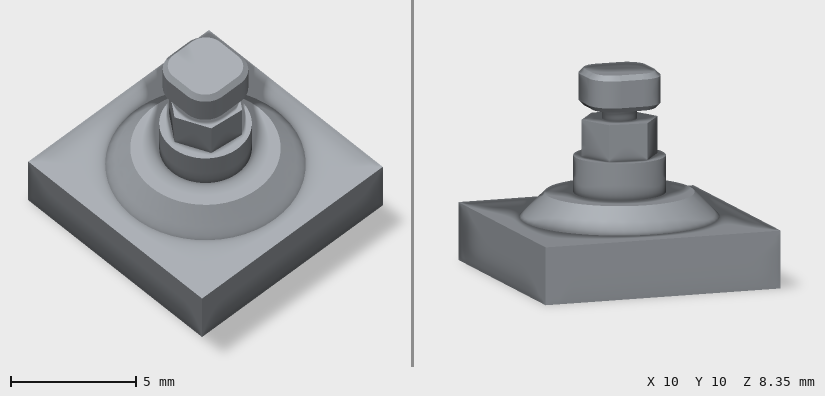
import cadquery as cq

base_side = 10.0
base_height = 2.35

foot_bottom_diameter = 8.0
foot_top_diameter = 6.0
foot_height = 1.0

collar_diameter = 3.7
collar_height = 1.5

hex_corner_diameter = 3.15
hex_height = 1.5
hex_turn = 24.5

neck_diameter = 1.41
neck_height = 0.5

head_side = 3.0
head_height = 1.5
head_corner_radius = 1.0
head_chamfer = 0.2

foot_z = base_height
collar_z = foot_z + foot_height
hex_z = collar_z + collar_height
neck_z = hex_z + hex_height
head_z = neck_z + neck_height


def plane_at(z):
    return cq.Workplane("XY").workplane(offset=z)


def make_foot():
    """Cone frustum tapering from the base up to the collar."""
    cone = cq.Solid.makeCone(foot_bottom_diameter / 2, foot_top_diameter / 2, foot_height)
    return cq.Workplane(cone.translate(cq.Vector(0, 0, foot_z)))


def make_cylinder(diameter, height, z):
    return plane_at(z).circle(diameter / 2).extrude(height)


def make_hexagon():
    prism = plane_at(hex_z).polygon(6, hex_corner_diameter).extrude(hex_height)
    return prism.rotate((0, 0, 0), (0, 0, 1), hex_turn)


def make_head():
    """Square head with rounded corners, chamfered around its top and bottom."""
    block = plane_at(head_z).rect(head_side, head_side).extrude(head_height)
    rounded = block.edges("|Z").fillet(head_corner_radius)
    return rounded.faces("<Z or >Z").edges().chamfer(head_chamfer)


result = (
    cq.Workplane("XY")
    .rect(base_side, base_side)
    .extrude(base_height)
    .union(make_foot())
    .union(make_cylinder(collar_diameter, collar_height, collar_z))
    .union(make_hexagon())
    .union(make_cylinder(neck_diameter, neck_height, neck_z))
    .union(make_head())
)